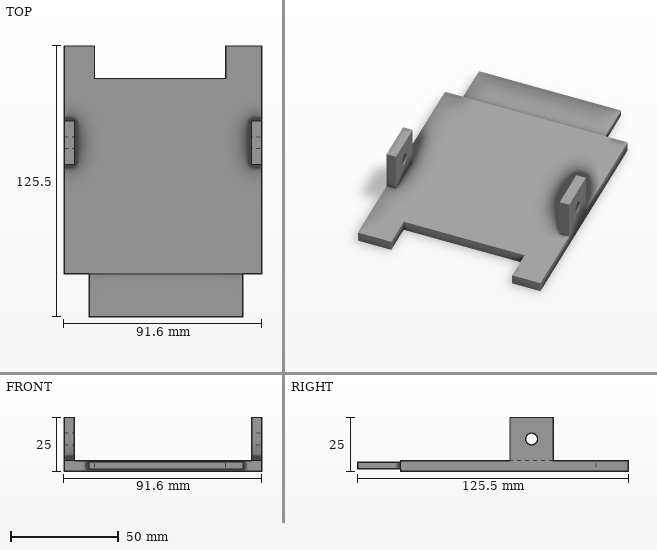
import cadquery as cq

width = 91.6
total_length = 125.5
tongue_length = 20.0
plate_length = total_length - tongue_length
plate_thickness = 5.0

notch_depth = 15.0
left_ear_width = 14.2
right_ear_width = 16.8

tongue_left_offset = 11.5
tongue_width = 71.3
tongue_thickness = 3.1
tongue_bottom = 1.1

total_height = 25.0
lug_height = total_height - plate_thickness
lug_length = 20.2
lug_thickness = 4.8
lug_back_offset = 34.8
lug_hole_diameter = 5.4


def block(size, corner):
    """Box of the given size whose lowest corner sits at the given point."""
    return cq.Workplane("XY").box(*size, centered=False).translate(corner)


def make_plate():
    plate = block((width, plate_length, plate_thickness), (0, tongue_length, 0))
    notch_width = width - left_ear_width - right_ear_width
    notch = block(
        (notch_width, notch_depth, plate_thickness),
        (left_ear_width, total_length - notch_depth, 0),
    )
    return plate.cut(notch)


def make_tongue():
    return block(
        (tongue_width, tongue_length, tongue_thickness),
        (tongue_left_offset, 0, tongue_bottom),
    )


def make_lug(left_side):
    """Lug with a centred cross hole."""
    front = total_length - lug_back_offset - lug_length
    lug = block((lug_thickness, lug_length, lug_height), (left_side, front, plate_thickness))
    return lug.faces("<X").workplane(centerOption="CenterOfMass").hole(lug_hole_diameter)


result = make_plate().union(make_tongue())
for lug_left_side in (0, width - lug_thickness):
    result = result.union(make_lug(lug_left_side))